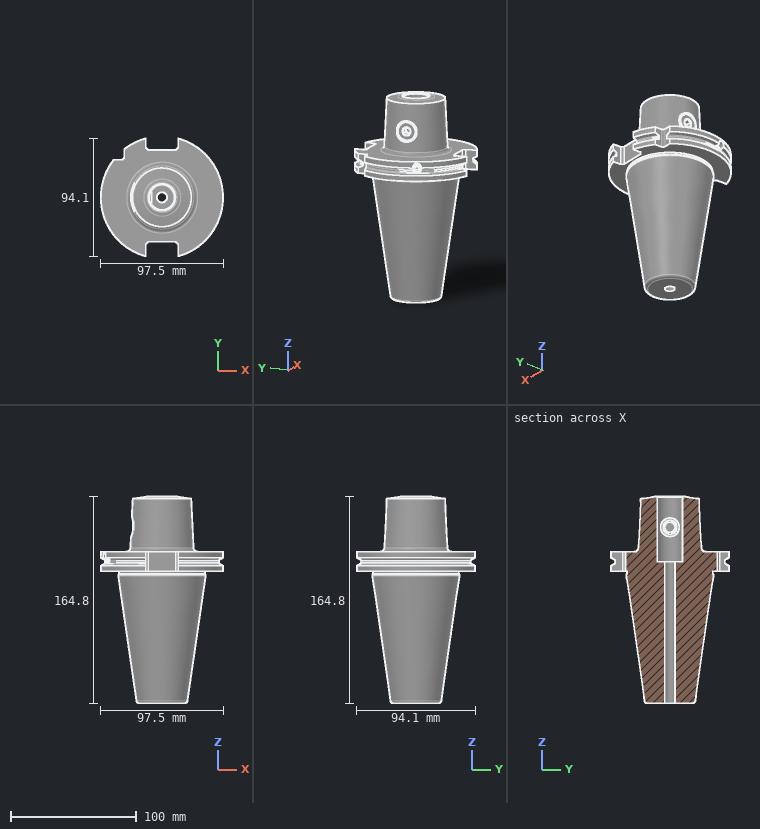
import cadquery as cq
import math


gauge_radius = 69.85 / 2
taper_length = 101.75
taper_slope = 7 / 24 / 2
taper_end_radius = gauge_radius - taper_length * taper_slope
taper_end_fillet = 2.5
relief_radius = 34.3
relief_bottom = 1.5
gauge_land_top = 0.5

flange_radius = 97.5 / 2
flange_bottom = 3.2
flange_top = 19.1
groove_center = 10.95
groove_mouth = 6.4
groove_depth = 3.2
groove_flank_angle = 30.0
groove_fillet = 1.0
groove_floor_radius = flange_radius - groove_depth
groove_floor_width = groove_mouth - 2 * groove_depth * math.tan(math.radians(groove_flank_angle))

slot_width = 25.7
slot_floor_front = 35.4
slot_floor_back = 37.7
slot_corner = 2.0
notch_offset = 30.1
notch_corner_radius = 2.0

nose_top = 63.0
nose_base_radius = 25.4
nose_base_fillet = 3.0
nose_shoulder_radius = 23.4
nose_shoulder_drop = 1.8
nose_shoulder = nose_top - nose_shoulder_drop
nose_crown_radius = 14.7
nose_crown_drop = 0.6
nose_crown = nose_top - nose_crown_drop
nose_rim_radius = 11.9

bore_radius = 10.0
bore_chamfer = 0.8
bore_depth = 52.0
through_radius = 4.0

screw_drop = 24.6
screw_height = nose_top - screw_drop
screw_radius = 7.4
screw_hole_radius = 8.5
screw_hole_floor = 21.5
screw_face = 23.4
screw_tip = 8.3
screw_tip_radius = 5.5
screw_tip_chamfer = 1.4
screw_tip_length = 4.0
hex_flats = 6.0
hex_depth = 6.0
hex_drill_radius = 2.3
hex_mouth_radius = 3.5

port_azimuth = 199.8
port_tilt = 25.0
port_face_distance = 45.4
port_face_height = 12.7
port_radius = 3.3
port_drill_radius = 1.9
port_drill_depth = 8.0
port_plug_length = 4.0

pick_margin = 1.0
clearance = 10.0


def edge_band(radius, height, half_height):
    """Selector for turned edges up to a radius, within a band of heights."""
    reach = radius + pick_margin
    low = (-reach, -reach, height - half_height)
    high = (reach, reach, height + half_height)
    return cq.selectors.BoxSelector(low, high, boundingbox=True)


def turned_body():
    half_mouth = groove_mouth / 2
    half_floor = groove_floor_width / 2
    body = (
        cq.Workplane("XZ")
        .moveTo(0, -taper_length)
        .lineTo(taper_end_radius, -taper_length)
        .lineTo(gauge_radius, 0)
        .lineTo(gauge_radius, gauge_land_top)
        .lineTo(relief_radius, relief_bottom)
        .lineTo(relief_radius, flange_bottom)
        .lineTo(flange_radius, flange_bottom)
        .lineTo(flange_radius, groove_center - half_mouth)
        .lineTo(groove_floor_radius, groove_center - half_floor)
        .lineTo(groove_floor_radius, groove_center + half_floor)
        .lineTo(flange_radius, groove_center + half_mouth)
        .lineTo(flange_radius, flange_top)
        .lineTo(nose_base_radius, flange_top)
        .lineTo(nose_shoulder_radius, nose_shoulder)
        .lineTo(nose_crown_radius, nose_crown)
        .lineTo(nose_rim_radius, nose_top)
        .lineTo(0, nose_top)
        .close()
        .revolve(360, (0, 0, 0), (0, 1, 0))
    )
    body = body.faces("<Z").edges().fillet(taper_end_fillet)
    groove_corners = edge_band(groove_floor_radius, groove_center, half_mouth)
    body = body.edges(groove_corners).edges("%CIRCLE").fillet(groove_fillet)
    nose_base = edge_band(nose_base_radius, flange_top, pick_margin)
    return body.edges(nose_base).edges("%CIRCLE").fillet(nose_base_fillet)


def flange_cutter(sketch):
    return sketch.extrude(flange_top - flange_bottom)


def driving_slot(direction, floor):
    half = slot_width / 2
    outer = direction * (flange_radius + clearance)
    return flange_cutter(
        cq.Workplane("XY", origin=(0, 0, flange_bottom))
        .moveTo(-half, outer)
        .lineTo(-half, direction * (floor + slot_corner))
        .lineTo(-half + slot_corner, direction * floor)
        .lineTo(half - slot_corner, direction * floor)
        .lineTo(half, direction * (floor + slot_corner))
        .lineTo(half, outer)
        .close()
    )


def orientation_notch():
    size = flange_radius
    center = notch_offset + size / 2
    return flange_cutter(
        cq.Workplane("XY", origin=(0, 0, flange_bottom)).center(-center, center).rect(size, size)
    ).edges("|Z").fillet(notch_corner_radius)


def bore():
    return (
        cq.Workplane("XZ")
        .moveTo(0, -taper_length)
        .lineTo(through_radius, -taper_length)
        .lineTo(through_radius, nose_top - bore_depth)
        .lineTo(bore_radius, nose_top - bore_depth)
        .lineTo(bore_radius, nose_top - bore_chamfer)
        .lineTo(bore_radius + bore_chamfer, nose_top)
        .lineTo(0, nose_top)
        .close()
        .revolve(360, (0, 0, 0), (0, 1, 0))
    )


def screw_plane(distance):
    """Plane across the screw axis, its normal pointing at the bore axis."""
    return cq.Workplane(cq.Plane((-distance, 0, screw_height), (0, 1, 0), (1, 0, 0)))


def axial_cone(outer_radius, inner_radius, distance, length):
    """Cone along the screw axis, starting at a distance from the bore axis and running inward."""
    start = cq.Vector(-distance, 0, screw_height)
    return cq.Workplane(cq.Solid.makeCone(outer_radius, inner_radius, length, start, cq.Vector(1, 0, 0)))


def screw_hole():
    countersink_depth = screw_hole_radius - screw_radius
    countersink_top = screw_hole_floor + countersink_depth
    mouth = screw_plane(flange_radius).circle(screw_hole_radius).extrude(flange_radius - countersink_top)
    countersink = axial_cone(screw_hole_radius, screw_radius, countersink_top, countersink_depth)
    shaft = screw_plane(screw_hole_floor).circle(screw_radius).extrude(screw_hole_floor)
    return mouth.union(countersink).union(shaft)


def clamping_screw():
    shank_end = screw_tip + screw_tip_length
    screw = screw_plane(screw_face).circle(screw_radius).extrude(screw_face - shank_end)
    tip = screw_plane(shank_end).circle(screw_tip_radius).extrude(screw_tip_length)
    tip = tip.faces(">X").chamfer(screw_tip_chamfer)
    hex_corners = 2 * hex_flats / math.sqrt(3)
    socket = screw_plane(screw_face).transformed(rotate=(0, 0, 90)).polygon(6, hex_corners).extrude(hex_depth)
    mouth_depth = hex_mouth_radius - hex_flats / 2
    mouth = axial_cone(hex_mouth_radius, hex_flats / 2, screw_face, mouth_depth)
    drill_point = axial_cone(hex_drill_radius, 0, screw_face - hex_depth, hex_drill_radius)
    return screw.union(tip).cut(socket).cut(mouth).cut(drill_point)


def port_cylinder(radius, length, direction):
    """Cylinder on the port axis from the plug face, outward (1) or into the flange (-1)."""
    azimuth = math.radians(port_azimuth)
    tilt = math.radians(port_tilt)
    face_center = cq.Vector(
        port_face_distance * math.cos(azimuth),
        port_face_distance * math.sin(azimuth),
        port_face_height,
    )
    outward = cq.Vector(
        math.cos(tilt) * math.cos(azimuth),
        math.cos(tilt) * math.sin(azimuth),
        math.sin(tilt),
    )
    return cq.Workplane(cq.Solid.makeCylinder(radius, length, face_center, outward * direction))


def add_coolant_port(body):
    body = body.cut(port_cylinder(port_radius, clearance, 1))
    body = body.union(port_cylinder(port_radius, port_plug_length, -1))
    return body.cut(port_cylinder(port_drill_radius, port_drill_depth, -1))


result = turned_body()
result = result.cut(driving_slot(-1, slot_floor_front))
result = result.cut(driving_slot(1, slot_floor_back))
result = result.cut(orientation_notch())
result = result.cut(bore())
result = result.cut(screw_hole())
result = result.union(clamping_screw())
result = add_coolant_port(result)